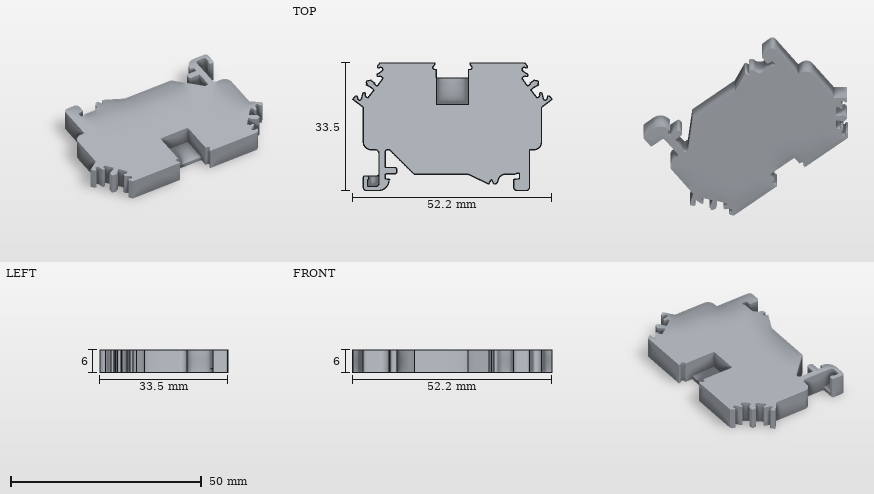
import cadquery as cq

length = 52.25
height = 33.5
thickness = 6.0
tip_x = length / 2

body_half_width = 23.35
shoulder_y = 21.85
body_bottom_y = 10.7
body_corner_radius = 2.05
base_y = 4.3
split_y = 15.65

window_half_width = 4.2
window_bottom_y = 22.6
window_floor_top_y = 29.55
window_floor_thickness = 1.1
lip_half_width = 4.6
lip_groove_bottom_y = 31.75

stem_left_x = -19.2
stem_right_x = -17.55
stem_fillet = 1.0
prong_top_y = 6.1
prong_bottom_y = 4.4
prong_end_x = -14.5
prong_radius = 0.65
prong_root_radius = 0.25
hook_top_y = 3.9
hook_corner_radius = 0.9
hook_nose_radius = 0.45
heel_x = -16.55
heel_radius = 2.85
pocket_floor_thickness = 1.1
pocket_bottom_y = 1.1
pocket_left_x = -22.2
pocket_corner_radius = 0.3
floor_blend_radius = 0.45

slope_top_x = -16.45
slope_bottom_x = -10.0
slot_radius = 0.5

catch_bottom_y = 1.7
catch_fillet = 1.9
relief_top_y = 4.55

right_foot_inner_x = 17.55
right_foot_outer_x = 20.2
right_toe_x = 16.0
toe_top_y = 3.0
toe_radius = 1.0
toe_top_radius = 0.3


def slab(outline, depth=thickness):
    """Close an outline and extrude it from the back face."""
    return outline.close().extrude(depth)


def rounded(solid, x, y, radius):
    """Fillet the edge along Z that stands at (x, y)."""
    corner = cq.selectors.NearestToPointSelector((x, y, thickness / 2))
    return solid.edges("|Z").edges(corner).fillet(radius)


def upper_left_half():
    """Left half of the body above split_y, with its row of marker latches."""
    outline = (
        cq.Workplane("XY")
        .moveTo(0, split_y)
        .lineTo(0, window_bottom_y)
        .lineTo(-window_half_width, window_bottom_y)
        .lineTo(-window_half_width, lip_groove_bottom_y)
        .lineTo(-lip_half_width, lip_groove_bottom_y)
        .threePointArc((-5.1, 32.25), (-4.95, 32.6))
        .lineTo(-lip_half_width, 33.0)
        .lineTo(-lip_half_width, height)
        .lineTo(-18.95, height)
        .lineTo(-19.6, 32.65)
        .threePointArc((-19.55, 32.2), (-19.1, 32.15))
        .lineTo(-18.9, 32.3)
        .threePointArc((-18.3, 31.9), (-18.45, 31.35))
        .lineTo(-19.45, 30.65)
        .threePointArc((-19.75, 30.15), (-19.2, 29.9))
        .lineTo(-18.9, 30.05)
        .lineTo(-18.2, 29.45)
        .lineTo(-19.7, 27.35)
        .lineTo(-20.5, 28.0)
        .lineTo(-20.3, 28.15)
        .lineTo(-21.35, 28.95)
        .lineTo(-22.25, 28.8)
        .threePointArc((-22.55, 28.35), (-22.3, 27.95))
        .lineTo(-22.55, 27.7)
        .lineTo(-21.3, 27.0)
        .lineTo(-20.55, 26.4)
        .lineTo(-22.1, 24.4)
        .threePointArc((-22.6, 24.6), (-22.85, 25.1))
        .lineTo(-22.7, 25.45)
        .threePointArc((-23.15, 25.65), (-23.5, 25.35))
        .lineTo(-23.8, 24.15)
        .threePointArc((-24.3, 23.7), (-24.75, 24.15))
        .lineTo(-24.9, 24.8)
        .lineTo(-25.4, 24.8)
        .lineTo(-tip_x, 23.9)
        .lineTo(-body_half_width, shoulder_y)
        .lineTo(-body_half_width, split_y)
    )
    return slab(outline)


def lower_body():
    """Body below split_y down to the base, with the catch under its right side."""
    outline = (
        cq.Workplane("XY")
        .moveTo(-body_half_width, split_y)
        .lineTo(-body_half_width, body_bottom_y)
        .lineTo(slope_top_x, body_bottom_y)
        .lineTo(slope_bottom_x, base_y)
        .lineTo(4.15, base_y)
        .lineTo(9.5, catch_bottom_y)
        .lineTo(10.2, 3.0)
        .lineTo(10.8, catch_bottom_y)
        .threePointArc((11.55, 1.95), (11.95, 2.65))
        .radiusArc((13.85, base_y), catch_fillet)
        .lineTo(16.3, base_y)
        .lineTo(16.9, relief_top_y)
        .lineTo(right_foot_inner_x, relief_top_y)
        .lineTo(right_foot_inner_x, body_bottom_y)
        .lineTo(body_half_width, body_bottom_y)
        .lineTo(body_half_width, split_y)
    )
    body = slab(outline)
    for side in (-1, 1):
        body = rounded(body, side * body_half_width, body_bottom_y, body_corner_radius)
    return body


def left_foot():
    """Stem with a sideways prong and a hook that curls to the left."""
    outline = (
        cq.Workplane("XY")
        .moveTo(stem_left_x, body_bottom_y)
        .lineTo(stem_left_x, pocket_bottom_y)
        .lineTo(pocket_left_x, pocket_bottom_y)
        .lineTo(pocket_left_x, 2.75)
        .lineTo(-21.9, 3.25)
        .lineTo(-22.1, hook_top_y)
        .lineTo(-body_half_width, hook_top_y)
        .lineTo(-body_half_width, 0)
        .lineTo(heel_x - heel_radius, 0)
        .radiusArc((heel_x, heel_radius), -heel_radius)
        .lineTo(-16.4, 3.0)
        .lineTo(stem_right_x, 3.15)
        .lineTo(stem_right_x, prong_bottom_y)
        .lineTo(prong_end_x, prong_bottom_y)
        .lineTo(prong_end_x, prong_top_y)
        .lineTo(stem_right_x, prong_top_y)
        .lineTo(stem_right_x, body_bottom_y)
    )
    foot = slab(outline)
    foot = rounded(foot, -body_half_width, 0, hook_corner_radius)
    foot = rounded(foot, -body_half_width, hook_top_y, hook_nose_radius)
    foot = rounded(foot, stem_left_x, pocket_bottom_y, hook_corner_radius)
    foot = rounded(foot, pocket_left_x, pocket_bottom_y, pocket_corner_radius)
    foot = rounded(foot, stem_right_x, prong_bottom_y, prong_root_radius)
    for y in (prong_bottom_y, prong_top_y):
        foot = rounded(foot, prong_end_x, y, prong_radius)
    return foot


def hook_pocket_floor():
    """Thin floor that closes the back of the hook and blends into the stem."""
    outline = (
        cq.Workplane("XY")
        .moveTo(pocket_left_x, pocket_bottom_y / 2)
        .lineTo(stem_left_x, pocket_bottom_y / 2)
        .lineTo(stem_left_x, hook_top_y + floor_blend_radius)
        .radiusArc((stem_left_x - floor_blend_radius, hook_top_y), floor_blend_radius)
        .lineTo(pocket_left_x, hook_top_y)
    )
    return slab(outline, pocket_floor_thickness)


def right_foot():
    """Straight leg with a toe that points to the left."""
    outline = (
        cq.Workplane("XY")
        .moveTo(right_foot_inner_x, body_bottom_y)
        .lineTo(right_foot_inner_x, 3.2)
        .lineTo(right_toe_x, toe_top_y)
        .lineTo(right_toe_x, 0)
        .lineTo(right_foot_outer_x, 0)
        .lineTo(right_foot_outer_x, body_bottom_y)
    )
    foot = slab(outline)
    for x in (right_toe_x, right_foot_outer_x):
        foot = rounded(foot, x, 0, toe_radius)
    return rounded(foot, right_toe_x, toe_top_y, toe_top_radius)


def window_floor():
    """Thin floor across the lower part of the window."""
    floor_length = window_floor_top_y - window_bottom_y
    return (
        cq.Workplane("XY")
        .box(2 * window_half_width, floor_length, window_floor_thickness, centered=(True, False, False))
        .translate((0, window_bottom_y, 0))
    )


left_half = upper_left_half()
result = (
    left_half
    .union(left_half.mirror("YZ"))
    .union(lower_body())
    .union(left_foot())
    .union(right_foot())
    .clean()
)
result = rounded(result, stem_left_x, body_bottom_y, stem_fillet)
result = rounded(result, stem_right_x, body_bottom_y, slot_radius)
result = rounded(result, slope_top_x, body_bottom_y, slot_radius)
result = result.union(window_floor()).union(hook_pocket_floor())